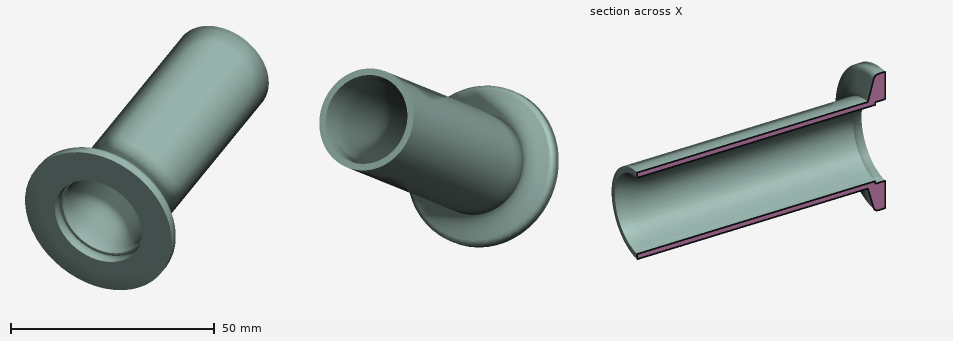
import cadquery as cq
import math

length = 70.0
flange_diameter = 40.0
tube_diameter = 25.4
bore_diameter = 22.1
recess_diameter = 23.65
recess_depth = 2.8
flange_thickness = 5.0
cone_angle = 15.0
rim_radius = 1.5

flange_radius = flange_diameter / 2
tube_radius = tube_diameter / 2
cone_rise = (flange_radius - tube_radius) * math.tan(math.radians(cone_angle))
rim_height = flange_thickness - cone_rise


def along_y(diameter, height):
    """Cylinder on the Y axis, starting at the sealing face."""
    return cq.Workplane("XZ").circle(diameter / 2).extrude(-height)


def make_body():
    """Solid tube and flange with a rounded rim."""
    profile = [
        (0, 0),
        (flange_radius, 0),
        (flange_radius, rim_height),
        (tube_radius, flange_thickness),
        (tube_radius, length),
        (0, length),
    ]
    body = cq.Workplane("XY").polyline(profile).close().revolve(360, (0, 0, 0), (0, 1, 0))
    rim_corner = body.edges("%CIRCLE").edges(cq.selectors.RadiusNthSelector(-1)).edges(">Y")
    return rim_corner.fillet(rim_radius)


result = make_body().cut(along_y(bore_diameter, length)).cut(along_y(recess_diameter, recess_depth))